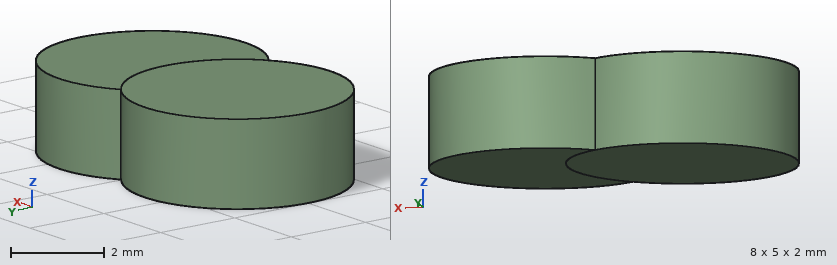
import cadquery as cq

overall_length = 8.0
disc_diameter = 5.0
disc_height = 2.0

center_spacing = overall_length - disc_diameter


def make_disc(center_x):
    """Upright round disc standing on Z = 0, centred on the X axis."""
    return cq.Workplane("XY").center(center_x, 0).circle(disc_diameter / 2).extrude(disc_height)


def make_full_disc():
    """Complete disc at the -X end."""
    return make_disc(-center_spacing / 2)


def make_notched_disc(neighbour):
    """Disc at the +X end, with a round recess that seats the neighbouring disc."""
    return make_disc(center_spacing / 2).cut(neighbour)


full_disc = make_full_disc()
notched_disc = make_notched_disc(full_disc)

result = cq.Compound.makeCompound([full_disc.val(), *notched_disc.solids().vals()])